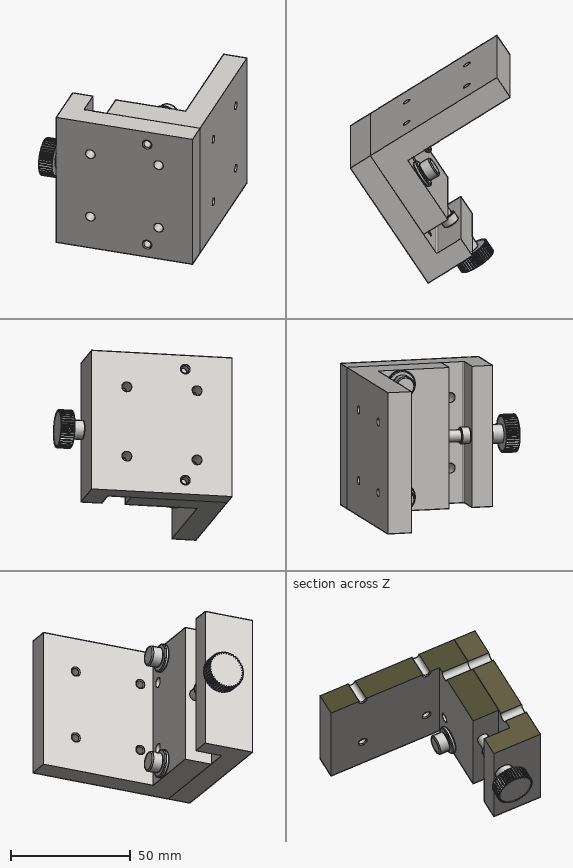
import cadquery as cq
import math


SIDE = 60.0
BASE_THICKNESS = 10.0
WALL_THICKNESS = 9.0
INNER_CORNER_RADIUS = 0.7
WALL_TOP = 22.05

FOOT_LENGTH = 41.0
FLANGE_THICKNESS = 10.3
FLANGE_TOP = 73.0

HOLE_PITCH = 30.0
HOLE_INSET = 15.0
BASE_HOLE_DIAMETER = 4.15
FLANGE_HOLE_TOP_INSET = 15.0
TAPPED_DIAMETER = 3.2
TAPPED_MOUTH_DIAMETER = 4.15
TAPPED_CHAMFER = (TAPPED_MOUTH_DIAMETER - TAPPED_DIAMETER) / 2

CLAMP_X = SIDE - 20.0
CLAMP_SPACING = 48.0
CLAMP_DEPTH_IN_BASE = BASE_THICKNESS / 2
WASHER_DIAMETER = 12.0
WASHER_THICKNESS = 1.8
HEAD_DIAMETER = 8.5
HEAD_HEIGHT = 5.2
WASHER_CHAMFER = 0.45
HEAD_CHAMFER = 0.5

SCREW_AXIS_Y = 17.5
KNOB_DIAMETER = 16.05
KNOB_LENGTH = 6.0
KNOB_CHAMFER = 0.3
KNURL_COUNT = 40
KNURL_TIP_FRACTION = 0.35
KNURL_DEPTH = 0.7
SHOULDER_DIAMETER = 8.0
SHOULDER_LENGTH = 5.05
SHOULDER_CHAMFER = 0.255
SHAFT_DIAMETER = 5.05
SHAFT_DEPTH_IN_FOOT = 15.0
COLLAR_DIAMETER = 7.0
COLLAR_LENGTH = 4.0
COLLAR_CHAMFER = 0.3

FOOT_X = SIDE - FOOT_LENGTH
SHAFT_END_X = FOOT_X + SHAFT_DEPTH_IN_FOOT
CLAMP_POINTS = [(CLAMP_X, side * CLAMP_SPACING / 2) for side in (-1, 1)]
BASE_HOLE_POINTS = [
    (SIDE - HOLE_INSET - column * HOLE_PITCH, side * HOLE_PITCH / 2)
    for column in (0, 1)
    for side in (-1, 1)
]
FLANGE_HOLE_POINTS = [
    (FLANGE_TOP - FLANGE_HOLE_TOP_INSET - row * HOLE_PITCH, side * HOLE_PITCH / 2)
    for row in (0, 1)
    for side in (-1, 1)
]


def rod_along_x(x_start, x_end, y, z, diameter):
    """Round rod parallel to X, centred on (y, z)."""
    return cq.Workplane("YZ", origin=(x_start, y, z)).circle(diameter / 2).extrude(x_end - x_start)


def rod_along_y(y_start, y_end, x, z, diameter):
    """Round rod parallel to Y, centred on (x, z)."""
    return cq.Workplane("XZ", origin=(x, y_start, z)).circle(diameter / 2).extrude(y_start - y_end)


def tapped_hole(start, direction, depth):
    """Cutter for a tapped hole with a chamfered mouth at its start point."""
    bore = cq.Solid.makeCylinder(TAPPED_DIAMETER / 2, depth, start, direction)
    mouth = cq.Solid.makeCone(
        TAPPED_MOUTH_DIAMETER / 2, TAPPED_DIAMETER / 2, TAPPED_CHAMFER, start, direction
    )
    return cq.Workplane(bore.fuse(mouth))


def extrude_bracket(outline):
    """Extrudes an XY outline over the full bracket height, centred on Z = 0."""
    return cq.Workplane("XY").polyline(outline).close().extrude(SIDE / 2, both=True)


def make_base_bracket():
    """L-shaped base: mounting plate, wall for the thumb screw, holes."""
    bracket = extrude_bracket([
        (0, 0),
        (SIDE, 0),
        (SIDE, BASE_THICKNESS),
        (WALL_THICKNESS, BASE_THICKNESS),
        (WALL_THICKNESS, WALL_TOP),
        (0, WALL_TOP),
    ])
    inner_corner = cq.selectors.NearestToPointSelector((WALL_THICKNESS, BASE_THICKNESS, 0))
    bracket = bracket.edges("|Z").edges(inner_corner).fillet(INNER_CORNER_RADIUS)

    for x, z in BASE_HOLE_POINTS:
        bracket = bracket.cut(rod_along_y(0, BASE_THICKNESS, x, z, BASE_HOLE_DIAMETER))
    for x, z in CLAMP_POINTS:
        bracket = bracket.cut(tapped_hole(cq.Vector(x, 0, z), cq.Vector(0, 1, 0), BASE_THICKNESS))
    return bracket.cut(rod_along_x(0, WALL_THICKNESS, SCREW_AXIS_Y, 0, SHAFT_DIAMETER))


def make_sliding_bracket():
    """L-shaped slide: foot on the base plate and a tall flange with four tapped holes."""
    flange_x = SIDE - FLANGE_THICKNESS
    bracket = extrude_bracket([
        (FOOT_X, BASE_THICKNESS),
        (SIDE, BASE_THICKNESS),
        (SIDE, FLANGE_TOP),
        (flange_x, FLANGE_TOP),
        (flange_x, WALL_TOP),
        (FOOT_X, WALL_TOP),
    ])
    for y, z in FLANGE_HOLE_POINTS:
        mouth_centre = cq.Vector(flange_x, y, z)
        bracket = bracket.cut(tapped_hole(mouth_centre, cq.Vector(1, 0, 0), FLANGE_THICKNESS))
    for x, z in BASE_HOLE_POINTS:
        if x > FOOT_X:
            bracket = bracket.cut(rod_along_y(BASE_THICKNESS, WALL_TOP, x, z, BASE_HOLE_DIAMETER))
    for x, z in CLAMP_POINTS:
        bracket = bracket.cut(rod_along_y(BASE_THICKNESS, WALL_TOP, x, z, TAPPED_DIAMETER))
    return bracket.cut(rod_along_x(FOOT_X, SHAFT_END_X, SCREW_AXIS_Y, 0, SHAFT_DIAMETER))


def make_clamp_screw(x, z):
    """Cap screw with an integral washer, pointing toward -Y."""
    head_seat_y = WALL_TOP + WASHER_THICKNESS
    shank_end_y = BASE_THICKNESS - CLAMP_DEPTH_IN_BASE
    shank = rod_along_y(shank_end_y, head_seat_y, x, z, TAPPED_DIAMETER)
    washer = rod_along_y(WALL_TOP, head_seat_y, x, z, WASHER_DIAMETER)
    head = rod_along_y(head_seat_y, head_seat_y + HEAD_HEIGHT, x, z, HEAD_DIAMETER)
    washer = washer.faces("<Y or >Y").chamfer(WASHER_CHAMFER)
    head = head.faces("<Y or >Y").chamfer(HEAD_CHAMFER)
    return shank.union(washer).union(head)


def make_knob():
    """Knurled round knob at the -X end of the thumb screw."""
    knob_x = -SHOULDER_LENGTH - KNOB_LENGTH
    tip_radius = KNOB_DIAMETER / 2
    root_radius = tip_radius - KNURL_DEPTH
    half_pitch = math.pi / KNURL_COUNT
    outline = [
        (radius * math.cos(angle), radius * math.sin(angle))
        for tooth in range(KNURL_COUNT)
        for radius, angle in (
            (root_radius, 2 * tooth * half_pitch),
            (tip_radius, (2 * tooth + 1 - KNURL_TIP_FRACTION) * half_pitch),
            (tip_radius, (2 * tooth + 1 + KNURL_TIP_FRACTION) * half_pitch),
        )
    ]
    knurled = (
        cq.Workplane("YZ", origin=(knob_x, SCREW_AXIS_Y, 0))
        .polyline(outline)
        .close()
        .extrude(KNOB_LENGTH)
    )
    envelope = rod_along_x(knob_x, -SHOULDER_LENGTH, SCREW_AXIS_Y, 0, KNOB_DIAMETER)
    return knurled.intersect(envelope.faces("<X or >X").chamfer(KNOB_CHAMFER))


def make_thumb_screw():
    """Thumb screw through the wall into the foot, with a stop on each side of the wall."""
    collar_end_x = WALL_THICKNESS + COLLAR_LENGTH
    shoulder = rod_along_x(-SHOULDER_LENGTH, 0, SCREW_AXIS_Y, 0, SHOULDER_DIAMETER)
    collar = rod_along_x(WALL_THICKNESS, collar_end_x, SCREW_AXIS_Y, 0, COLLAR_DIAMETER)
    shaft = rod_along_x(-SHOULDER_LENGTH, SHAFT_END_X, SCREW_AXIS_Y, 0, SHAFT_DIAMETER)
    shoulder = shoulder.faces(">X").chamfer(SHOULDER_CHAMFER)
    collar = collar.faces("<X or >X").chamfer(COLLAR_CHAMFER)
    return make_knob().union(shoulder).union(shaft).union(collar)


base_bracket = make_base_bracket()
sliding_bracket = make_sliding_bracket()
thumb_screw = make_thumb_screw()
clamp_screws = [make_clamp_screw(x, z) for x, z in CLAMP_POINTS]

result = cq.Compound.makeCompound([
    base_bracket.val(),
    sliding_bracket.val(),
    thumb_screw.val(),
    *[screw.val() for screw in clamp_screws],
])